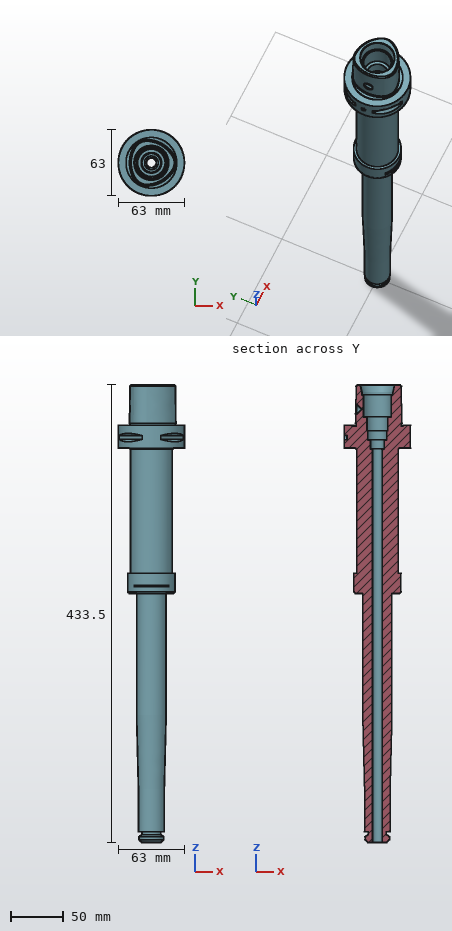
import cadquery as cq
import math

total_length = 433.5
shank_length = 38.0
flange_top = total_length - shank_length
flange_thickness = 21.5
flange_bottom = flange_top - flange_thickness
collar_top = 255.5
collar_bottom = 236.0
taper_top = 121.0
taper_bottom = 50.7
nose_shoulder = 10.5

flange_diameter = 63.0
body_diameter = 40.0
collar_diameter = 45.0
shaft_diameter = 28.0
nose_diameter = 24.5
tip_diameter = 24.0
tip_neck_diameter = 17.8

root_chamfer = 1.5
collar_chamfer = 1.7
tip_chamfer = (tip_diameter - tip_neck_diameter) / 2
tip_rim_top = 5.5
tip_rim_bottom = tip_chamfer
tip_flare_length = 2.0

lobe_centre_radius = 9.5
shank_width = 44.2
shank_top_inset = 0.5
shank_chamfer = 1.5
neck_inset = 0.5
neck_length = 1.7
lobe_angles = [0, 120, 240]

relief_diameter = 48.0
relief_depth = 1.0

mouth_diameter = 33.0
mouth_chamfer = 0.5
entry_diameter = mouth_diameter - 2 * mouth_chamfer
seat_diameter = 29.0
entry_cone_depth = 7.0
seat_depth = 9.5
bore_diameter = 26.0
bore_depth = 30.5
thread_diameter = 19.5
thread_depth = 43.5
core_diameter = 17.8
core_depth = 52.0
pilot_diameter = 13.0
pilot_depth = 60.5
coolant_diameter = 9.0

gripper_z = flange_bottom + 10.0
gripper_depth = 4.0
gripper_floor_height = 3.5
gripper_wall_angle = 30
gripper_angles = [45, 135, 225, 315]

shank_hole_diameter = 9.0
shank_hole_z = flange_top + 15.0
shank_hole_depth = 1.5
drill_point_angle = 90
flange_hole_diameter = 4.0
flange_hole_depth = 2.5

collar_slot_z = 243.0
collar_slot_height = 1.5
collar_slot_depth = 1.0
collar_slot_end_y = -15.5


def turned_body():
    """Flange, body, collar, shaft, tapered nose and tip as one revolved profile."""
    flange_r = flange_diameter / 2
    body_r = body_diameter / 2
    collar_r = collar_diameter / 2
    shaft_r = shaft_diameter / 2
    nose_r = nose_diameter / 2
    tip_r = tip_diameter / 2
    neck_r = tip_neck_diameter / 2
    profile = [
        (0, 0),
        (tip_r - tip_chamfer, 0),
        (tip_r, tip_rim_bottom),
        (tip_r, tip_rim_top),
        (neck_r, tip_rim_top + tip_flare_length),
        (neck_r, nose_shoulder),
        (nose_r, nose_shoulder),
        (nose_r, taper_bottom),
        (shaft_r, taper_top),
        (shaft_r, collar_bottom),
        (collar_r - collar_chamfer, collar_bottom),
        (collar_r, collar_bottom + collar_chamfer),
        (collar_r, collar_top),
        (body_r, collar_top),
        (body_r, flange_bottom - root_chamfer),
        (body_r + root_chamfer, flange_bottom),
        (flange_r, flange_bottom),
        (flange_r, flange_top),
        (0, flange_top),
    ]
    return cq.Workplane("XZ").polyline(profile).close().revolve(360, (0, 0, 0), (0, 1, 0))


def polar(radius, angle):
    return (radius * math.cos(math.radians(angle)), radius * math.sin(math.radians(angle)))


def lobe_section(z, inset):
    """Closed wire of the shank section at height z, shrunk evenly by inset."""
    centre_spacing = lobe_centre_radius * math.sqrt(3)
    lobe_r = (shank_width - centre_spacing) / 2 - inset
    flank_r = lobe_r + centre_spacing

    def from_centre(centre_angle, radius, direction):
        cx, cy = polar(lobe_centre_radius, centre_angle)
        dx, dy = polar(radius, direction)
        return (cx + dx, cy + dy)

    section = cq.Workplane("XY", origin=(0, 0, z)).moveTo(*from_centre(0, lobe_r, -30))
    for angle in lobe_angles:
        section = section.threePointArc(
            from_centre(angle, lobe_r, angle), from_centre(angle, lobe_r, angle + 30)
        )
        opposite = angle + 240
        section = section.threePointArc(
            from_centre(opposite, flank_r, angle + 60), from_centre(opposite, flank_r, angle + 90)
        )
    return section.close().wire().val()


def shank_layer(bottom, bottom_inset, top, top_inset):
    wires = [lobe_section(bottom, bottom_inset), lobe_section(top, top_inset)]
    return cq.Workplane(cq.Solid.makeLoft(wires, True))


def polygon_shank():
    """Tapered shank with a chamfered top and a slightly narrower neck at its foot."""
    foot = flange_top - relief_depth
    neck_top = flange_top + neck_length
    chamfer_start = total_length - shank_chamfer
    neck = shank_layer(foot, neck_inset, neck_top, neck_inset)
    taper = shank_layer(neck_top, 0, chamfer_start, shank_top_inset)
    rim = shank_layer(chamfer_start, shank_top_inset, total_length, shank_top_inset + shank_chamfer)
    return neck.union(taper).union(rim)


def foot_relief():
    floor = flange_top - relief_depth
    return cq.Workplane("XY", origin=(0, 0, floor)).circle(relief_diameter / 2).extrude(relief_depth)


def stepped_bore():
    """Bore from the shank end, stepping down to a coolant hole that runs right through."""
    steps = [
        (bore_diameter, bore_depth),
        (thread_diameter, thread_depth),
        (core_diameter, core_depth),
        (pilot_diameter, pilot_depth),
        (coolant_diameter, total_length),
    ]
    profile = [
        (0, total_length),
        (mouth_diameter / 2, total_length),
        (entry_diameter / 2, total_length - mouth_chamfer),
        (seat_diameter / 2, total_length - entry_cone_depth),
        (seat_diameter / 2, total_length - seat_depth),
    ]
    step_top = seat_depth
    for diameter, depth in steps:
        profile.append((diameter / 2, total_length - step_top))
        profile.append((diameter / 2, total_length - depth))
        step_top = depth
    profile.append((0, 0))
    return cq.Workplane("XZ").polyline(profile).close().revolve(360, (0, 0, 0), (0, 1, 0))


def gripper_slot(angle):
    """Trapezoidal slot cut along a chord of the flange at the given angle about Z."""
    outer_r = flange_diameter / 2
    floor_r = outer_r - gripper_depth
    floor_half = gripper_floor_height / 2
    mouth_half = floor_half + gripper_depth * math.tan(math.radians(gripper_wall_angle))
    profile = [
        (floor_r, -floor_half),
        (outer_r, -mouth_half),
        (outer_r, mouth_half),
        (floor_r, floor_half),
    ]
    slot = cq.Workplane("XZ", origin=(0, 0, gripper_z)).polyline(profile).close()
    return slot.extrude(outer_r, both=True).rotate((0, 0, 0), (0, 0, 1), angle)


def shank_hole():
    """Blind drilled hole with a conical bottom in the -X flank of the shank."""
    hole_r = shank_hole_diameter / 2
    flank_distance = (shank_width + lobe_centre_radius * math.sqrt(3)) / 2 - lobe_centre_radius
    bottom_x = shank_hole_depth - flank_distance
    point_length = hole_r / math.tan(math.radians(drill_point_angle / 2))
    start_x = -flange_diameter / 2
    profile = [
        (start_x, 0),
        (start_x, hole_r),
        (bottom_x, hole_r),
        (bottom_x + point_length, 0),
    ]
    hole = cq.Workplane("XZ", origin=(0, 0, shank_hole_z)).polyline(profile).close()
    return hole.revolve(360, (0, 0, 0), (1, 0, 0))


def flange_hole():
    start = cq.Workplane("YZ", origin=(-flange_diameter / 2, 0, gripper_z))
    return start.circle(flange_hole_diameter / 2).extrude(flange_hole_depth)


def collar_slot():
    outer_r = collar_diameter / 2
    slot_bottom = collar_slot_z - collar_slot_height / 2
    ring = cq.Workplane("XY", origin=(0, 0, slot_bottom))
    ring = ring.circle(outer_r).circle(outer_r - collar_slot_depth).extrude(collar_slot_height)
    limit = cq.Workplane("XY").box(collar_diameter, collar_diameter, collar_slot_height)
    return ring.intersect(limit.translate((0, collar_slot_end_y - outer_r, collar_slot_z)))


result = turned_body().cut(foot_relief()).union(polygon_shank()).cut(stepped_bore())
for slot_angle in gripper_angles:
    result = result.cut(gripper_slot(slot_angle))
result = result.cut(shank_hole()).cut(flange_hole()).cut(collar_slot())